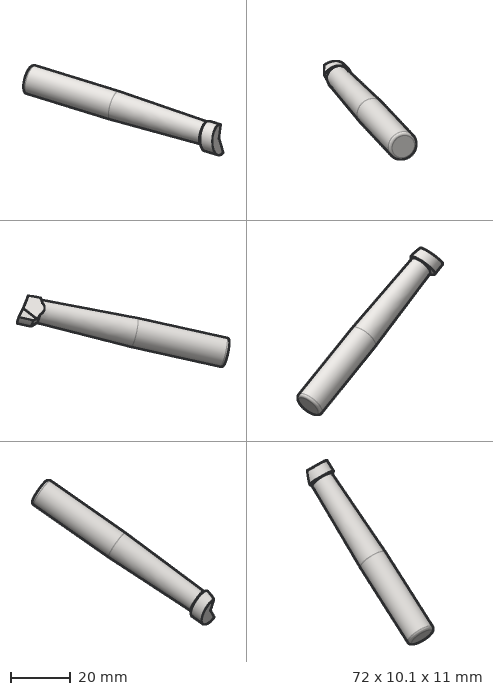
import cadquery as cq
import math

total_length = 72.0

shank_radius = 10.0 / 2
shank_length = 31.9
shank_end_fillet = 1.0

neck_end_x = 64.9
neck_end_radius = 8.0 / 2

head_radius = 10.15 / 2
head_drop = 0.9
end_face_angle = 15.0

gullet_start_z = -0.2
gullet_rise_along_x = 0.94
gullet_rise_along_y = 1.25

clearance_size = 43.2

head_bottom_z = -head_drop - head_radius
end_face_slope = math.tan(math.radians(end_face_angle))


def end_face_x(z):
    """X of the tilted end face at height z; the tip is at the bottom."""
    return total_length - (z - head_bottom_z) * end_face_slope


def make_shank():
    shank = cq.Workplane("YZ").circle(shank_radius).extrude(shank_length)
    return shank.faces("<X").edges().fillet(shank_end_fillet)


def make_neck():
    return (
        cq.Workplane("YZ", origin=(shank_length, 0, 0))
        .circle(shank_radius)
        .workplane(offset=neck_end_x - shank_length)
        .circle(neck_end_radius)
        .loft(ruled=True)
    )


def make_head():
    """Eccentric cylinder, bounded by a 45 degree back cone and the tilted end face."""
    cylinder = (
        cq.Workplane("YZ", origin=(neck_end_x, 0, -head_drop))
        .circle(head_radius)
        .extrude(total_length - neck_end_x)
    )
    flare = total_length - neck_end_x
    top_z = neck_end_radius + flare
    back_cone = (
        cq.Workplane("XZ")
        .moveTo(neck_end_x, 0)
        .lineTo(neck_end_x, neck_end_radius)
        .lineTo(total_length, top_z)
        .lineTo(total_length, 0)
        .close()
        .revolve(360, (0, 0, 0), (1, 0, 0))
    )
    end_trim = (
        cq.Workplane("XZ")
        .moveTo(neck_end_x, -top_z)
        .lineTo(end_face_x(-top_z), -top_z)
        .lineTo(end_face_x(top_z), top_z)
        .lineTo(neck_end_x, top_z)
        .close()
        .extrude(top_z, both=True)
    )
    return cylinder.intersect(back_cone).intersect(end_trim)


def make_gullet():
    """Space on the +Y side of the rake face (Y = 0), below a sloping plane."""
    gullet_plane = cq.Plane(
        origin=(end_face_x(gullet_start_z), 0, gullet_start_z),
        xDir=(1, 0, gullet_rise_along_x),
        normal=(-gullet_rise_along_x, -gullet_rise_along_y, 1),
    )
    below_plane = (
        cq.Workplane(gullet_plane)
        .rect(clearance_size, clearance_size)
        .extrude(-clearance_size)
    )
    beside_rake_face = cq.Workplane(origin=(total_length, 0, 0)).box(
        clearance_size, clearance_size, clearance_size, centered=(True, False, True)
    )
    return below_plane.intersect(beside_rake_face)


result = make_shank().union(make_neck()).union(make_head()).cut(make_gullet())